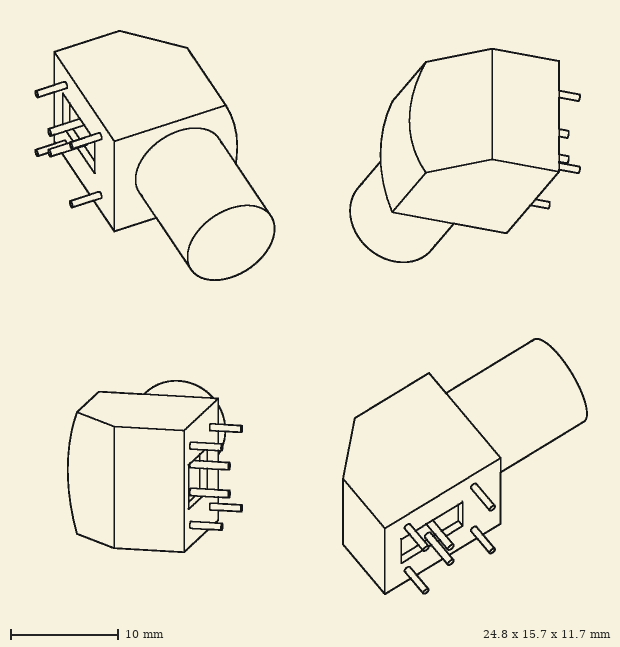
import cadquery as cq
import math


HOUSING_LENGTH = 13.3
HOUSING_WIDTH = 11.7
SIDE_DEPTH = 11.5
CROWN_RADIUS = 15.0
CHAMFER_LEG = 5.95
AXIS_HEIGHT = 6.68

BARREL_DIAMETER = 9.0
BARREL_LENGTH = 11.5

RECESS_LENGTH = 7.05
RECESS_WIDTH = 4.25
RECESS_DEPTH = 0.7
RECESS_CENTER_X = 5.42

PIN_LENGTH = 3.0
CORNER_PIN_DIAMETER = 0.65
CORNER_PIN_PITCH = 7.62
CORNER_PIN_FIRST_X = 2.57
SIGNAL_PIN_DIAMETER = 0.7
SIGNAL_PIN_PITCH = 2.68

half_width = HOUSING_WIDTH / 2
crown_rise = CROWN_RADIUS - math.sqrt(CROWN_RADIUS**2 - half_width**2)
pin_face_y = -AXIS_HEIGHT
crown_edge_y = pin_face_y + SIDE_DEPTH
crown_top_y = crown_edge_y + crown_rise
recess_floor_y = pin_face_y + RECESS_DEPTH
pin_tip_y = pin_face_y - PIN_LENGTH


def make_housing():
    """Block with a crowned +Y face, cut at 45 degrees along its rear edge."""
    block = (
        cq.Workplane("YZ")
        .moveTo(pin_face_y, -half_width)
        .lineTo(crown_edge_y, -half_width)
        .threePointArc((crown_top_y, 0), (crown_edge_y, half_width))
        .lineTo(pin_face_y, half_width)
        .close()
        .extrude(HOUSING_LENGTH)
    )
    chamfer = (
        cq.Workplane("XY")
        .moveTo(0, crown_top_y)
        .lineTo(CHAMFER_LEG, crown_top_y)
        .lineTo(0, crown_top_y - CHAMFER_LEG)
        .close()
        .extrude(half_width, both=True)
    )
    return block.cut(chamfer)


def make_barrel():
    """Plain cylinder on the front face of the housing."""
    return (
        cq.Workplane("YZ", origin=(HOUSING_LENGTH, 0, 0))
        .circle(BARREL_DIAMETER / 2)
        .extrude(BARREL_LENGTH)
    )


def make_recess():
    """Shallow rectangular pocket that opens on the pin face."""
    return (
        cq.Workplane("XZ", origin=(RECESS_CENTER_X, recess_floor_y, 0))
        .rect(RECESS_LENGTH, RECESS_WIDTH)
        .extrude(RECESS_DEPTH)
    )


def make_pin(x, z, diameter, root_y):
    """Round pin from the surface at root_y down to the common tip plane."""
    return (
        cq.Workplane("XZ", origin=(x, root_y, z))
        .circle(diameter / 2)
        .extrude(root_y - pin_tip_y)
    )


result = make_housing().union(make_barrel()).cut(make_recess())

for side in (-1, 1):
    corner_z = side * CORNER_PIN_PITCH / 2
    for corner_x in (CORNER_PIN_FIRST_X, CORNER_PIN_FIRST_X + CORNER_PIN_PITCH):
        result = result.union(make_pin(corner_x, corner_z, CORNER_PIN_DIAMETER, pin_face_y))
    signal_z = side * SIGNAL_PIN_PITCH / 2
    result = result.union(make_pin(RECESS_CENTER_X, signal_z, SIGNAL_PIN_DIAMETER, recess_floor_y))